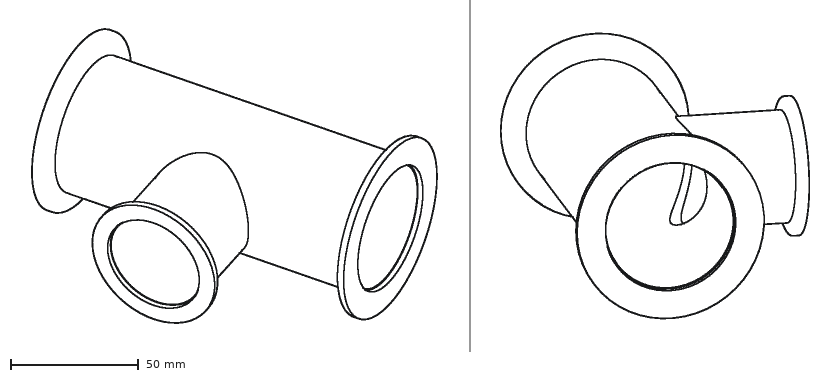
import cadquery as cq
import math

run_length = 140.0
branch_reach = 65.0
run_flange_diameter = 75.0
run_tube_diameter = 57.0
run_bore_diameter = 51.0
run_recess_diameter = 52.2
lead_in_diameter = 51.2
lead_in_length = 1.5
branch_flange_diameter = 55.0
branch_tube_diameter = 44.5
branch_bore_diameter = 40.6
branch_recess_diameter = 41.2

rim_width = 3.0
cone_angle = 15.0
rim_fillet = 1.0
recess_depth = 2.2


def disc(diameter, start, length):
    """Cylinder along +X beginning at x = start."""
    return cq.Workplane("YZ", origin=(start, 0, 0)).circle(diameter / 2).extrude(length)


def flange(face_diameter, tube_diameter):
    """Clamp flange with its sealing face at x = 0 and its cone narrowing along +X."""
    rim_radius = face_diameter / 2
    tube_radius = tube_diameter / 2
    cone_length = (rim_radius - tube_radius) * math.tan(math.radians(cone_angle))
    turn = math.radians(90 - cone_angle)
    tangent = rim_fillet * math.tan(turn / 2)
    rim_end = rim_width - tangent
    center_radius = rim_radius - rim_fillet
    arc_middle = (
        rim_end + rim_fillet * math.sin(turn / 2),
        center_radius + rim_fillet * math.cos(turn / 2),
    )
    arc_end = (
        rim_end + rim_fillet * math.sin(turn),
        center_radius + rim_fillet * math.cos(turn),
    )
    return (
        cq.Workplane("XY")
        .lineTo(0, rim_radius)
        .lineTo(rim_end, rim_radius)
        .threePointArc(arc_middle, arc_end)
        .lineTo(rim_width + cone_length, tube_radius)
        .lineTo(rim_width + cone_length, 0)
        .close()
        .revolve(360, (0, 0, 0), (1, 0, 0))
    )


def lead_in():
    """Slightly tapered cutter joining the recess floor to the run bore."""
    return (
        cq.Workplane("YZ", origin=(-run_length / 2 + recess_depth, 0, 0))
        .circle(lead_in_diameter / 2)
        .workplane(offset=lead_in_length)
        .circle(run_bore_diameter / 2)
        .loft()
    )


def make_run():
    """Straight tube with a flange at each end and a side opening for the branch."""
    end_flange = flange(run_flange_diameter, run_tube_diameter).translate((-run_length / 2, 0, 0))
    end_recess = disc(run_recess_diameter, -run_length / 2, recess_depth)
    body = disc(run_tube_diameter, -run_length / 2, run_length)
    body = body.union(end_flange).union(end_flange.mirror("YZ"))
    body = body.cut(disc(run_bore_diameter, -run_length / 2, run_length))
    body = body.cut(end_recess).cut(end_recess.mirror("YZ"))
    body = body.cut(lead_in()).cut(lead_in().mirror("YZ"))
    side_opening = cq.Workplane("XZ").circle(branch_bore_diameter / 2).extrude(branch_reach)
    return body.cut(side_opening)


def make_branch():
    """Flanged side tube whose inner end is shaped to the outside of the run."""
    body = disc(branch_tube_diameter, 0, branch_reach)
    body = body.union(flange(branch_flange_diameter, branch_tube_diameter))
    body = body.cut(disc(branch_bore_diameter, 0, branch_reach))
    body = body.cut(disc(branch_recess_diameter, 0, recess_depth))
    body = body.rotate((0, 0, 0), (0, 0, 1), 90).translate((0, -branch_reach, 0))
    return body.cut(disc(run_tube_diameter, -run_length / 2, run_length))


run = make_run()
branch = make_branch()
result = cq.Compound.makeCompound([run.val(), branch.val()])